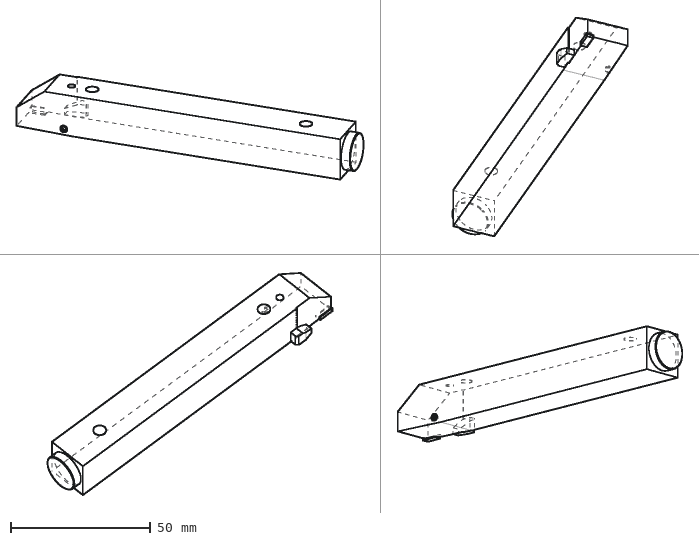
import cadquery as cq

shank_start = 0.4
shank_end = 124.8
side = 16.0
nose_height = 8.0
slope_end = 11.2
bottom_relief_length = 22.1
bottom_relief_height = 0.6
back_relief_length = 17.7
back_relief_depth = 0.4

insert_length = 6.2
insert_top = 1.7
insert_inner_top = 1.2
insert_width = 2.6

clamp_start = 12.8
clamp_ridge = 18.1
clamp_end = 20.9
clamp_bottom = 0.4
clamp_low_top = 2.8
clamp_top = 5.3
clamp_reach = 19.4
clamp_front_reach = 18.5
clamp_front_bevel = 3.8
clamp_end_bevel = 0.9
clamp_embed = 0.6

cap_end = 128.3
cap_diameter = 14.0
cap_chamfer = 0.3

top_screws = [(18.6, 2.7), (26.5, 4.6), (108.7, 4.6)]
screw_recess = 0.1
side_screw_x = 18.6
side_screw_z = 2.5
side_screw_diameter = 2.7
drive_diameter = 1.7
drive_depth = 1.0

center = side / 2


def make_shank():
    shank = (
        cq.Workplane("XZ")
        .moveTo(shank_start, bottom_relief_height)
        .lineTo(bottom_relief_length, 0)
        .lineTo(shank_end, 0)
        .lineTo(shank_end, side)
        .lineTo(slope_end, side)
        .lineTo(shank_start, nose_height)
        .close()
        .extrude(-side)
    )
    back_relief = cq.Workplane("XY").box(
        back_relief_length, back_relief_depth, side, centered=False
    ).translate((0, side - back_relief_depth, 0))
    return shank.cut(back_relief)


def make_insert():
    return (
        cq.Workplane("YZ")
        .moveTo(side, 0)
        .lineTo(side, insert_top)
        .lineTo(side - insert_width, insert_inner_top)
        .lineTo(side - insert_width, 0)
        .close()
        .extrude(insert_length)
    )


def make_clamp():
    plan = (
        cq.Workplane("XY")
        .workplane(offset=clamp_bottom)
        .moveTo(clamp_start, side - clamp_embed)
        .lineTo(clamp_end, side - clamp_embed)
        .lineTo(clamp_end, clamp_reach - clamp_end_bevel)
        .lineTo(clamp_end - clamp_end_bevel, clamp_reach)
        .lineTo(clamp_start + clamp_front_bevel, clamp_reach)
        .lineTo(clamp_start, clamp_front_reach)
        .close()
        .extrude(clamp_top - clamp_bottom)
    )
    profile = (
        cq.Workplane("XZ")
        .moveTo(clamp_start, clamp_bottom)
        .lineTo(clamp_end, clamp_bottom)
        .lineTo(clamp_end, clamp_top)
        .lineTo(clamp_ridge, clamp_top)
        .lineTo(clamp_start, clamp_low_top)
        .close()
        .extrude(-clamp_reach)
    )
    return plan.intersect(profile)


def make_cap():
    return (
        cq.Workplane("YZ", origin=(shank_end, center, center))
        .circle(cap_diameter / 2)
        .extrude(cap_end - shank_end)
        .faces(">X")
        .chamfer(cap_chamfer)
    )


def top_screw_recess(x, diameter):
    return (
        cq.Workplane("XY", origin=(x, center, side))
        .circle(diameter / 2)
        .extrude(-screw_recess)
    )


def side_screw_recess(diameter, depth):
    return (
        cq.Workplane("XZ", origin=(side_screw_x, 0, side_screw_z))
        .circle(diameter / 2)
        .extrude(-depth)
    )


result = make_shank().union(make_insert()).union(make_clamp()).union(make_cap())
for screw_x, screw_diameter in top_screws:
    result = result.cut(top_screw_recess(screw_x, screw_diameter))
result = result.cut(side_screw_recess(side_screw_diameter, screw_recess))
result = result.cut(side_screw_recess(drive_diameter, drive_depth))